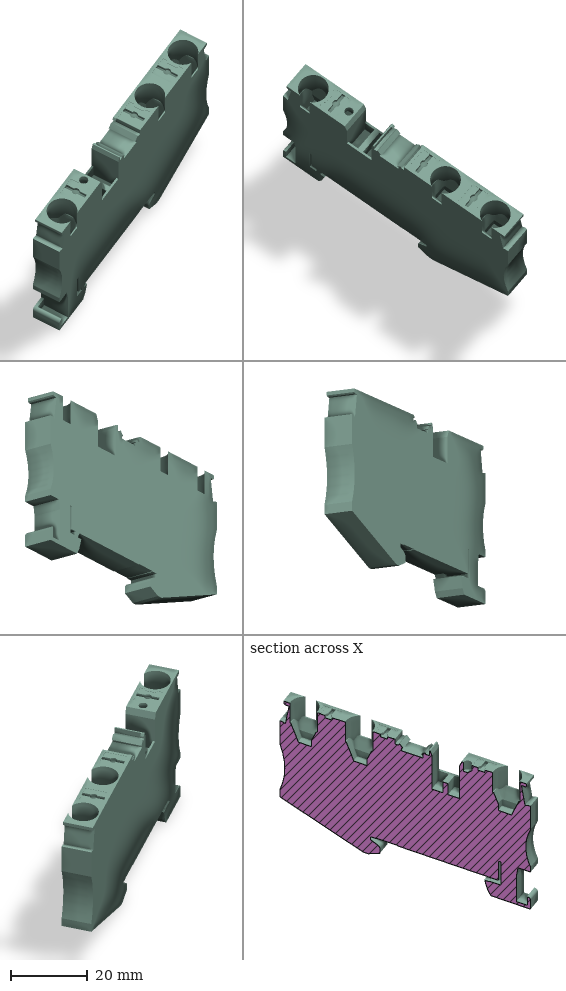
import cadquery as cq

THICKNESS = 8.15
HALF_THICKNESS = THICKNESS / 2
HALF_LENGTH = 37.05
HEIGHT = 42.2

COVER_WALL = 0.9
COVER_X = -HALF_THICKNESS + COVER_WALL

LIP_Y = 35.9
LIP_EDGE_Z = 41.2
LIP_UNDER_Z = 40.9
LIP_TOOTH_Y = 35.4
NECK_TOP_Y = 34.4
NECK_FOOT_Y = 35.4
NECK_FOOT_Z = 34.7
LEDGE_Z = 35.05
LEDGE_Y = 36.4

HOLLOW_TOP_Z = 27.05
HOLLOW_DEPTH = 1.4
BACK_HOLLOW_FOOT_Z = 11.6
FRONT_HOLLOW_FOOT_Z = 14.4

RAIL_Z = 6.1
UNDERCUT_Z = 12.6
SLOT_BACK_Y = -27.6
SLOT_FRONT_Y = -28.25
FOOT_TOP_Z = 4.9
BRIDGE_INNER_Y = -24.2
BRIDGE_FOOT_Y = -24.8
BRIDGE_OUTER_Y = -25.95
BRIDGE_X = 1.5
POST_Y = -32.9
POST_TOP_Y = -33.35
POST_SLOPE_Z = 9.9
TOE_Z = 4.0
TOE_ROUND = 0.9
TOE_RECESS_Y = -36.0
TOE_RECESS_FLOOR_Z = 1.1

CLAW_FLANK_Z = 1.55
FRONT_CLAW_BASE_Y = -25.3
FRONT_CLAW_FLANK_Y = -24.3
FRONT_CLAW_TIP_Y = -23.35
FRONT_CLAW_TIP_Z = 4.7
FRONT_CLAW_STEP_Y = -24.7
BACK_CLAW_TIP_Y = 7.4
BACK_CLAW_ROOT_Y = 10.2
BACK_CLAW_ROOT_Z = 5.2
BACK_CLAW_ROUND_START = (8.15, 4.2)
BACK_CLAW_ROUND_MID = (7.6, 3.8)
BACK_CLAW_ROUND_END_Z = 3.2
BACK_CLAW_BASE_FRONT_Y = 10.9
BACK_CLAW_BASE_BACK_Y = 12.4
BACK_SLOPE_Z = 9.1

RELIEF_BACK_Y = 8.5
RELIEF_FRONT_Y = 2.4
RELIEF_DEPTH = 0.15

GROOVE_CENTER_Y = -2.1
GROOVE_HALF_WIDTH = 3.1
GROOVE_FLOOR_Z = 39.0
BARB_Z = 39.9
BARB_TIP_HALF_WIDTH = 2.6
RIDGE_HALF_WIDTH = 3.7
RIDGE_Z = 41.05
CATCH_INNER_HALF_WIDTH = 4.1
CATCH_OUTER_HALF_WIDTH = 5.0
CATCH_FLOOR_Z = 40.55
CATCH_ROOF_Z = 41.5
HOOK_TIP_HALF_WIDTH = 4.4
HOOK_TOP_HALF_WIDTH = 4.8

CHANNEL_BACK_Y = -7.9
CHANNEL_FRONT_Y = -15.9
CHANNEL_FLOOR_Z = 33.2
BACK_BEVEL_Y = 0.5
BACK_BEVEL_Z = 1.3
FRONT_BEVEL_Y = 0.75
FRONT_BEVEL_Z = 1.85
POCKET_LENGTH = 3.2
POCKET_WIDTH = 7.0
POCKET_DEPTH = 3.7

ENTRIES = [(30.0, -1), (13.65, -1), (-29.9, 1)]
ENTRY_RADIUS = 4.0
ENTRY_X = 0.41
ENTRY_DEPTH = 6.7
FUNNEL_TOP = 7.5
FUNNEL_TOP_ROUND = 1.5
FUNNEL_DEPTH = 3.3
SHAFT_X = 4.15
SHAFT_Y = 4.7
SHAFT_ROUND = 0.6
SHAFT_DEPTH = 2.2
SHAFT_TAPER = 0.8

BUTTON_NEAR = 4.4
BUTTON_FAR = 9.9
BUTTON_WIDTH = 6.2
BUTTON_X = 0.1
BUTTON_RECESS = 0.1
NOTCH_DEPTH = 0.75
NOTCH_MOUTH_WIDTH = 3.7
NOTCH_FLOOR_WIDTH = 2.8
BLADE_SLOT_OFFSET = 7.35
BLADE_SLOT_WIDTH = 1.05
BLADE_SLOT_BORE = 2.0
BLADE_SLOT_DEPTH = 0.9

TEST_HOLE_Y = -18.45
TEST_HOLE_DIAMETER = 2.4
TEST_HOLE_DEPTH = 3.0
TEST_RAMP_RISE = 1.1


def block(x_min, x_max, y_min, y_max, z_min, z_max):
    """Axis-aligned box given by its limits."""
    box = cq.Workplane("XY").box(x_max - x_min, y_max - y_min, z_max - z_min, centered=False)
    return box.translate((x_min, y_min, z_min))


def plate(outline, x_min, x_max):
    """Extrude a closed YZ outline between two X positions."""
    return outline.close().extrude(x_max - x_min).translate((x_min, 0, 0))


def end_lip(side):
    """Points of one end from the top lip down to the ledge; side is the sign of Y."""
    points = [
        (LIP_Y, HEIGHT),
        (LIP_Y, LIP_EDGE_Z),
        (LIP_TOOTH_Y, LIP_UNDER_Z),
        (NECK_TOP_Y, LIP_UNDER_Z),
        (NECK_FOOT_Y, NECK_FOOT_Z),
        (LEDGE_Y, LEDGE_Z),
        (HALF_LENGTH, LEDGE_Z),
    ]
    return [(side * y, z) for y, z in points]


def groove_wall(side):
    """Points of one barbed groove wall, from the housing top down to the groove floor."""
    points = [
        (HOOK_TOP_HALF_WIDTH, HEIGHT),
        (HOOK_TIP_HALF_WIDTH, CATCH_ROOF_Z),
        (CATCH_OUTER_HALF_WIDTH, CATCH_ROOF_Z),
        (CATCH_OUTER_HALF_WIDTH, CATCH_FLOOR_Z),
        (CATCH_INNER_HALF_WIDTH, CATCH_FLOOR_Z),
        (RIDGE_HALF_WIDTH, RIDGE_Z),
        (BARB_TIP_HALF_WIDTH, BARB_Z),
        (GROOVE_HALF_WIDTH, BARB_Z),
        (GROOVE_HALF_WIDTH, GROOVE_FLOOR_Z),
    ]
    return [(GROOVE_CENTER_Y + side * y, z) for y, z in points]


def housing():
    """Slab with the complete outer outline, including the rail feet."""
    channel = [
        (CHANNEL_BACK_Y + BACK_BEVEL_Y, HEIGHT),
        (CHANNEL_BACK_Y, HEIGHT - BACK_BEVEL_Z),
        (CHANNEL_BACK_Y, CHANNEL_FLOOR_Z),
        (CHANNEL_FRONT_Y, CHANNEL_FLOOR_Z),
        (CHANNEL_FRONT_Y, HEIGHT - FRONT_BEVEL_Z),
        (CHANNEL_FRONT_Y - FRONT_BEVEL_Y, HEIGHT),
    ]
    front_foot = [
        (-HALF_LENGTH, UNDERCUT_Z),
        (POST_TOP_Y, UNDERCUT_Z),
        (POST_Y, POST_SLOPE_Z),
        (POST_Y, TOE_Z),
        (-HALF_LENGTH + TOE_ROUND, TOE_Z),
    ]
    front_claw_and_rail = [
        (-HALF_LENGTH, 0),
        (FRONT_CLAW_BASE_Y, 0),
        (FRONT_CLAW_FLANK_Y, CLAW_FLANK_Z),
        (FRONT_CLAW_TIP_Y, FRONT_CLAW_TIP_Z),
        (FRONT_CLAW_STEP_Y, FRONT_CLAW_TIP_Z),
        (BRIDGE_FOOT_Y, FOOT_TOP_Z),
        (SLOT_FRONT_Y, FOOT_TOP_Z),
        (SLOT_FRONT_Y, UNDERCUT_Z),
        (SLOT_BACK_Y, UNDERCUT_Z),
        (SLOT_BACK_Y, RAIL_Z),
        (RELIEF_FRONT_Y, RAIL_Z),
        (RELIEF_FRONT_Y, RAIL_Z + RELIEF_DEPTH),
        (RELIEF_BACK_Y, RAIL_Z + RELIEF_DEPTH),
        (RELIEF_BACK_Y, RAIL_Z),
        (BACK_CLAW_ROOT_Y, RAIL_Z),
        (BACK_CLAW_ROOT_Y, BACK_CLAW_ROOT_Z),
        BACK_CLAW_ROUND_START,
    ]
    back_foot = [
        (BACK_CLAW_TIP_Y, CLAW_FLANK_Z),
        (BACK_CLAW_BASE_FRONT_Y, 0),
        (BACK_CLAW_BASE_BACK_Y, 0),
        (HALF_LENGTH, BACK_SLOPE_Z),
        (HALF_LENGTH, BACK_HOLLOW_FOOT_Z),
    ]
    top = groove_wall(1) + groove_wall(-1)[::-1] + channel
    front_hollow_mid = (HOLLOW_TOP_Z + FRONT_HOLLOW_FOOT_Z) / 2
    back_hollow_mid = (HOLLOW_TOP_Z + BACK_HOLLOW_FOOT_Z) / 2
    hollow_y = HALF_LENGTH - HOLLOW_DEPTH

    outline = cq.Workplane("YZ").moveTo(HALF_LENGTH, HOLLOW_TOP_Z)
    for point in end_lip(1)[::-1] + top + end_lip(-1):
        outline = outline.lineTo(*point)
    outline = outline.lineTo(-HALF_LENGTH, HOLLOW_TOP_Z)
    outline = outline.threePointArc((-hollow_y, front_hollow_mid), (-HALF_LENGTH, FRONT_HOLLOW_FOOT_Z))
    for point in front_foot:
        outline = outline.lineTo(*point)
    outline = outline.radiusArc((-HALF_LENGTH, TOE_Z - TOE_ROUND), -TOE_ROUND)
    for point in front_claw_and_rail:
        outline = outline.lineTo(*point)
    outline = outline.threePointArc(BACK_CLAW_ROUND_MID, (BACK_CLAW_TIP_Y, BACK_CLAW_ROUND_END_Z))
    for point in back_foot:
        outline = outline.lineTo(*point)
    outline = outline.threePointArc((hollow_y, back_hollow_mid), (HALF_LENGTH, HOLLOW_TOP_Z))
    return plate(outline, -HALF_THICKNESS, HALF_THICKNESS)


def foot_bridge():
    """Web near the +X side that joins the front foot to the rail face."""
    outline = cq.Workplane("YZ").polyline([
        (BRIDGE_INNER_Y, RAIL_Z),
        (BRIDGE_OUTER_Y, RAIL_Z),
        (BRIDGE_OUTER_Y, FOOT_TOP_Z),
        (BRIDGE_FOOT_Y, FOOT_TOP_Z),
    ])
    return plate(outline, BRIDGE_X, HALF_THICKNESS)


def toe_recess():
    """Recess between the post and the toe of the front foot, open to +X."""
    return block(COVER_X, HALF_THICKNESS, TOE_RECESS_Y, POST_Y, TOE_RECESS_FLOOR_Z, TOE_Z)


def hook_clearance(side):
    """Space that removes one overhanging groove hook everywhere but in the cover wall."""
    tip_y = GROOVE_CENTER_Y + side * HOOK_TIP_HALF_WIDTH
    root_y = GROOVE_CENTER_Y + side * CATCH_OUTER_HALF_WIDTH
    return block(COVER_X, HALF_THICKNESS, min(tip_y, root_y), max(tip_y, root_y), CATCH_FLOOR_Z, HEIGHT)


def wire_entry(center_y, inward):
    """Round mouth open to +X, then a square funnel rounded on its inner side, then a tapering shaft."""
    mouth_floor_z = HEIGHT - ENTRY_DEPTH
    funnel_floor_z = mouth_floor_z - FUNNEL_DEPTH
    bore = cq.Workplane("XY").workplane(offset=funnel_floor_z).center(ENTRY_X, center_y)
    bore = bore.circle(ENTRY_RADIUS).extrude(HEIGHT - funnel_floor_z)
    mouth = bore.intersect(block(-THICKNESS, THICKNESS, -HALF_LENGTH, HALF_LENGTH, mouth_floor_z, HEIGHT))

    inner_corners = ">Y" if inward > 0 else "<Y"
    wide_end = cq.Sketch().rect(FUNNEL_TOP, FUNNEL_TOP).vertices(inner_corners).fillet(FUNNEL_TOP_ROUND)
    narrow_end = cq.Sketch().rect(SHAFT_X, SHAFT_Y).vertices(inner_corners).fillet(SHAFT_ROUND)
    funnel = cq.Workplane("XY").placeSketch(
        narrow_end.moved(cq.Location(cq.Vector(0, center_y, funnel_floor_z))),
        wide_end.moved(cq.Location(cq.Vector(0, center_y, mouth_floor_z))),
    ).loft()

    shaft_floor_z = funnel_floor_z - SHAFT_DEPTH
    inner_y = center_y + inward * SHAFT_Y / 2
    outer_y = center_y - inward * SHAFT_Y / 2
    shaft = plate(
        cq.Workplane("YZ").polyline([
            (inner_y, funnel_floor_z),
            (outer_y, funnel_floor_z),
            (outer_y + inward * SHAFT_TAPER, shaft_floor_z),
            (inner_y, shaft_floor_z),
        ]),
        -SHAFT_X / 2,
        SHAFT_X / 2,
    )
    return mouth.union(funnel.intersect(bore)).union(shaft)


def release_button(entry_y, inward):
    """Shallow button outline with a notch facing the entry and a screwdriver slot across it."""
    near_y = entry_y + inward * BUTTON_NEAR
    far_y = entry_y + inward * BUTTON_FAR
    notch_y = near_y + inward * NOTCH_DEPTH
    slot_y = entry_y + inward * BLADE_SLOT_OFFSET
    half_width = BUTTON_WIDTH / 2

    face = cq.Workplane("XY").workplane(offset=HEIGHT - BUTTON_RECESS).center(BUTTON_X, 0).polyline([
        (-half_width, near_y),
        (-NOTCH_MOUTH_WIDTH / 2, near_y),
        (-NOTCH_FLOOR_WIDTH / 2, notch_y),
        (NOTCH_FLOOR_WIDTH / 2, notch_y),
        (NOTCH_MOUTH_WIDTH / 2, near_y),
        (half_width, near_y),
        (half_width, far_y),
        (-half_width, far_y),
    ]).close().extrude(BUTTON_RECESS)

    slot_plane = cq.Workplane("XY").workplane(offset=HEIGHT - BLADE_SLOT_DEPTH).center(BUTTON_X, slot_y)
    slot = slot_plane.rect(BUTTON_WIDTH, BLADE_SLOT_WIDTH).extrude(BLADE_SLOT_DEPTH)
    bore = slot_plane.circle(BLADE_SLOT_BORE / 2).extrude(BLADE_SLOT_DEPTH)
    return face.union(slot).union(bore)


def channel_pockets():
    """Two rectangular pockets against the walls of the bridge channel."""
    half_width = POCKET_WIDTH / 2
    floor_z = CHANNEL_FLOOR_Z - POCKET_DEPTH
    back_end = CHANNEL_BACK_Y - POCKET_LENGTH
    front_end = CHANNEL_FRONT_Y + POCKET_LENGTH
    back = block(-half_width, half_width, back_end, CHANNEL_BACK_Y, floor_z, CHANNEL_FLOOR_Z)
    front = block(-half_width, half_width, CHANNEL_FRONT_Y, front_end, floor_z, CHANNEL_FLOOR_Z)
    return back.union(front)


def test_hole():
    """Blind round hole whose floor rises as a ramp over its -Y half."""
    radius = TEST_HOLE_DIAMETER / 2
    floor_z = HEIGHT - TEST_HOLE_DEPTH
    hole = cq.Workplane("XY").workplane(offset=floor_z).center(0, TEST_HOLE_Y)
    hole = hole.circle(radius).extrude(TEST_HOLE_DEPTH)
    ramp_outline = cq.Workplane("YZ").polyline([
        (TEST_HOLE_Y, floor_z),
        (TEST_HOLE_Y - radius, floor_z),
        (TEST_HOLE_Y - radius, floor_z + TEST_RAMP_RISE),
    ])
    return hole.cut(plate(ramp_outline, -radius, radius))


result = housing().union(foot_bridge())
for entry_y, inward in ENTRIES:
    result = result.cut(wire_entry(entry_y, inward))
    result = result.cut(release_button(entry_y, inward))
result = result.cut(toe_recess()).cut(hook_clearance(1)).cut(hook_clearance(-1))
result = result.cut(channel_pockets()).cut(test_hole())